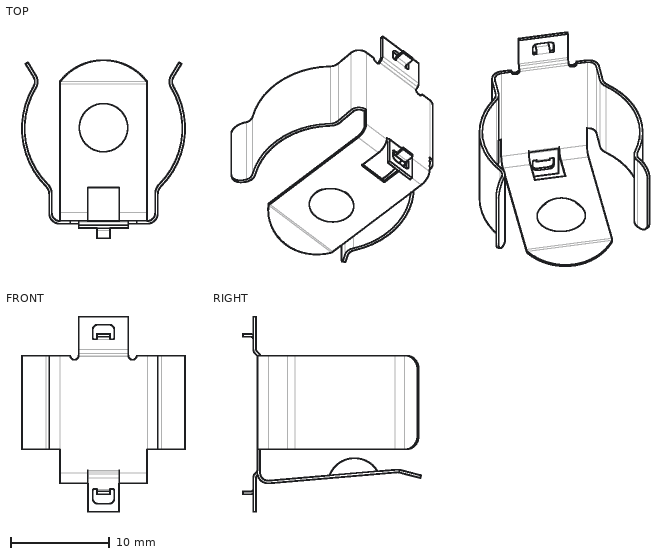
import cadquery as cq
import math

SHEET = 0.3
BEND_RADIUS = 0.82

PLATE_WIDTH = 8.87
ARM_HEIGHT = 9.55
FLOOR_BEND_Z = -2.37

ARM_SPAN = 16.64
BARREL_CENTER_Y = 9.72
FLARE_RADIUS = 1.13
BARREL_END_ANGLE = 31.0
LIP_BEND_RADIUS = 0.91
LIP_ANGLE = 31.0
LIP_LENGTH = 1.6
LIP_CORNER_RADIUS = 1.45

FLOOR_RISE = 4.9
FLOOR_KINK_Y = 14.27
FLOOR_TIP_DROP = 14.5
FLOOR_KINK_RADIUS = 0.5
FLOOR_TIP_LENGTH = 2.25
DOME_CENTER_Y = 9.8
DOME_BASE_RADIUS = 2.47
DOME_HEIGHT = 1.55

TAB_TOP_Z = 13.52
TAB_BOTTOM_Z = -6.36
TAB_OFFSET = 0.42
UPPER_TAB_WIDTH = 5.09
LOWER_TAB_WIDTH = 3.16
LOWER_TAB_ROOT_Z = -2.15
UPPER_TAB_ROOT_Z = 9.5
STEP_ANGLE = 45.0
UPPER_ROOT_RADIUS = 0.04
LOWER_ROOT_RADIUS = 0.2
STEP_TAB_RADIUS = 0.3
NOTCH_RADIUS = 0.42
FLOOR_SLOT_END_Y = 3.7

WINDOW_WIDTH = 2.19
WINDOW_HEIGHT = 1.47
WINDOW_OUTER_RADIUS = 0.52
WINDOW_ROOT_RADIUS = 0.14
WINDOW_EDGE_GAP = 0.83
TONGUE_WIDTH = 1.35
TONGUE_BEND_RADIUS = 0.24
TONGUE_TIP_Y = -1.47


def draw_path(outline, points):
    """Continue an outline with a line to one point, or an arc through the first of two."""
    if len(points) == 1:
        return outline.lineTo(*points[0])
    return outline.threePointArc(*points)


def strip_profile(plane, start, heading, moves):
    """Closed outline of a bent strip one sheet thick.

    The strip is walked along its right-hand face from start; heading is in degrees.
    Each move is (length,) for a flat or (inner radius, angle) for a bend, left positive.
    """
    x, y = start
    direction = math.radians(heading)

    def left_point():
        return x - SHEET * math.sin(direction), y + SHEET * math.cos(direction)

    outline = cq.Workplane(plane).moveTo(x, y)
    return_paths = []
    for move in moves:
        right_points = []
        left_points = [left_point()]
        if len(move) == 1:
            x += move[0] * math.cos(direction)
            y += move[0] * math.sin(direction)
            right_points.append((x, y))
        else:
            inner_radius, angle = move
            face_radius = inner_radius + SHEET if angle > 0 else inner_radius
            half_bend = math.radians(angle) / 2
            chord = 2 * face_radius * math.sin(abs(half_bend) / 2)
            for _ in range(2):
                x += chord * math.cos(direction + half_bend / 2)
                y += chord * math.sin(direction + half_bend / 2)
                direction += half_bend
                right_points.append((x, y))
                left_points.append(left_point())
            left_points.pop()
        outline = draw_path(outline, right_points)
        return_paths.append(left_points[::-1])

    outline = outline.lineTo(*left_point())
    for points in reversed(return_paths):
        outline = draw_path(outline, points)
    return outline.close()


def side_strip(width, start, heading, moves):
    """Bent strip drawn in the YZ plane and centred on X = 0."""
    return strip_profile("YZ", start, heading, moves).extrude(width / 2, both=True)


def box(width, y_range, z_range):
    """Box centred on X = 0 between two Y and two Z values."""
    return cq.Workplane("XY").box(
        width, y_range[1] - y_range[0], z_range[1] - z_range[0], centered=(True, False, False)
    ).translate((0, y_range[0], z_range[0]))


def make_arm():
    """Right-hand arm: root, flare, barrel that grips the cell, and lead-in lip."""
    outer_bend = BEND_RADIUS + SHEET
    barrel_outer = ARM_SPAN / 2
    root_x = PLATE_WIDTH / 2 + outer_bend
    center_distance = barrel_outer + FLARE_RADIUS
    flare_angle = math.degrees(math.acos((root_x + FLARE_RADIUS) / center_distance))
    root_end_y = BARREL_CENTER_Y - center_distance * math.sin(math.radians(flare_angle))
    arm = strip_profile("XY", (PLATE_WIDTH / 2, 0), 0, [
        (BEND_RADIUS, 90),
        (root_end_y - outer_bend,),
        (FLARE_RADIUS, -flare_angle),
        (barrel_outer - SHEET, flare_angle + BARREL_END_ANGLE),
        (LIP_BEND_RADIUS, -BARREL_END_ANGLE - LIP_ANGLE),
        (LIP_LENGTH,),
    ]).extrude(ARM_HEIGHT)
    return arm.faces(">Y").edges("#Z").fillet(LIP_CORNER_RADIUS)


def make_floor():
    """Bend at the foot of the plate, sloping spring floor, rounded tip and contact dome."""
    bend_outer = BEND_RADIUS + SHEET
    rise = math.radians(FLOOR_RISE)
    flat_length = (FLOOR_KINK_Y - bend_outer * (1 + math.sin(rise))) / math.cos(rise)
    floor = side_strip(PLATE_WIDTH, (0, FLOOR_BEND_Z), -90, [
        (BEND_RADIUS, 90 + FLOOR_RISE),
        (flat_length,),
        (FLOOR_KINK_RADIUS, -FLOOR_RISE - FLOOR_TIP_DROP),
    ])

    drop = math.radians(FLOOR_TIP_DROP)
    tip_plane = cq.Plane(
        origin=floor.faces(">Y").val().Center(),
        xDir=(1, 0, 0),
        normal=(0, math.sin(drop), math.cos(drop)),
    )
    tip = (
        cq.Workplane(tip_plane)
        .moveTo(-PLATE_WIDTH / 2, 0)
        .threePointArc((0, FLOOR_TIP_LENGTH), (PLATE_WIDTH / 2, 0))
        .close()
        .extrude(SHEET / 2, both=True)
    )

    dome_radius = (DOME_BASE_RADIUS**2 + DOME_HEIGHT**2) / (2 * DOME_HEIGHT)
    flat_start_y = bend_outer + BEND_RADIUS * math.sin(rise)
    flat_start_z = FLOOR_BEND_Z - BEND_RADIUS * math.cos(rise)
    dome_z = flat_start_z + (DOME_CENTER_Y - flat_start_y) * math.tan(rise)
    dome_plane = cq.Plane(
        origin=(0, DOME_CENTER_Y, dome_z),
        xDir=(1, 0, 0),
        normal=(0, -math.sin(rise), math.cos(rise)),
    )
    center_depth = dome_radius - DOME_HEIGHT
    base_latitude = math.degrees(math.asin(center_depth / dome_radius))
    sphere_center = cq.Workplane(dome_plane).workplane(offset=-center_depth)
    dome = sphere_center.sphere(dome_radius, angle1=base_latitude)
    hollow = sphere_center.sphere(dome_radius - SHEET)

    slot = box(LOWER_TAB_WIDTH, (-SHEET, FLOOR_SLOT_END_Y), (TAB_BOTTOM_Z, LOWER_TAB_ROOT_Z))
    return floor.union(tip).union(dome).cut(hollow).cut(slot)


def make_tab(width, length, root_radius):
    """Upward solder tab with its root at Z = 0, stepped outward, with window and tongue."""
    step = math.radians(STEP_ANGLE)
    bend_sum = root_radius + STEP_TAB_RADIUS + SHEET
    ramp = (TAB_OFFSET - bend_sum * (1 - math.cos(step))) / math.sin(step)
    step_height = bend_sum * math.sin(step) + ramp * math.cos(step)
    tab = side_strip(width, (SHEET, 0), 90, [
        (root_radius, STEP_ANGLE),
        (ramp,),
        (STEP_TAB_RADIUS, -STEP_ANGLE),
        (length - step_height,),
    ])

    window_top = length - WINDOW_EDGE_GAP
    window_root = window_top - WINDOW_HEIGHT
    inner_face_y = SHEET - TAB_OFFSET
    window = box(WINDOW_WIDTH, (-TAB_OFFSET, inner_face_y), (window_root, window_top))
    window = window.edges("|Y and >Z").fillet(WINDOW_OUTER_RADIUS)
    window = window.edges("|Y and <Z").fillet(WINDOW_ROOT_RADIUS)

    tongue = side_strip(TONGUE_WIDTH, (inner_face_y, window_root), 90, [
        (TONGUE_BEND_RADIUS, 90),
        (-TAB_OFFSET - TONGUE_BEND_RADIUS - TONGUE_TIP_Y,),
    ])
    return tab.cut(window).union(tongue)


def make_plate():
    """Back plate, opened at the roots of both tabs and notched beside the upper one."""
    plate = box(PLATE_WIDTH, (0, SHEET), (FLOOR_BEND_Z, ARM_HEIGHT))
    upper_gap = box(UPPER_TAB_WIDTH, (0, SHEET), (UPPER_TAB_ROOT_Z, ARM_HEIGHT))
    lower_gap = box(LOWER_TAB_WIDTH, (0, SHEET), (FLOOR_BEND_Z, LOWER_TAB_ROOT_Z))
    notch_x = UPPER_TAB_WIDTH / 2 + NOTCH_RADIUS
    notches = (
        cq.Workplane("XZ")
        .pushPoints([(-notch_x, ARM_HEIGHT), (notch_x, ARM_HEIGHT)])
        .circle(NOTCH_RADIUS)
        .extrude(-SHEET)
    )
    return plate.cut(upper_gap).cut(lower_gap).cut(notches)


right_arm = make_arm()
left_arm = right_arm.mirror("YZ")
upper_tab = make_tab(UPPER_TAB_WIDTH, TAB_TOP_Z - UPPER_TAB_ROOT_Z, UPPER_ROOT_RADIUS)
upper_tab = upper_tab.translate((0, 0, UPPER_TAB_ROOT_Z))
lower_tab = make_tab(LOWER_TAB_WIDTH, LOWER_TAB_ROOT_Z - TAB_BOTTOM_Z, LOWER_ROOT_RADIUS)
lower_tab = lower_tab.mirror("XY").translate((0, 0, LOWER_TAB_ROOT_Z))

result = make_plate().union(make_floor())
for feature in (right_arm, left_arm, upper_tab, lower_tab):
    result = result.union(feature)